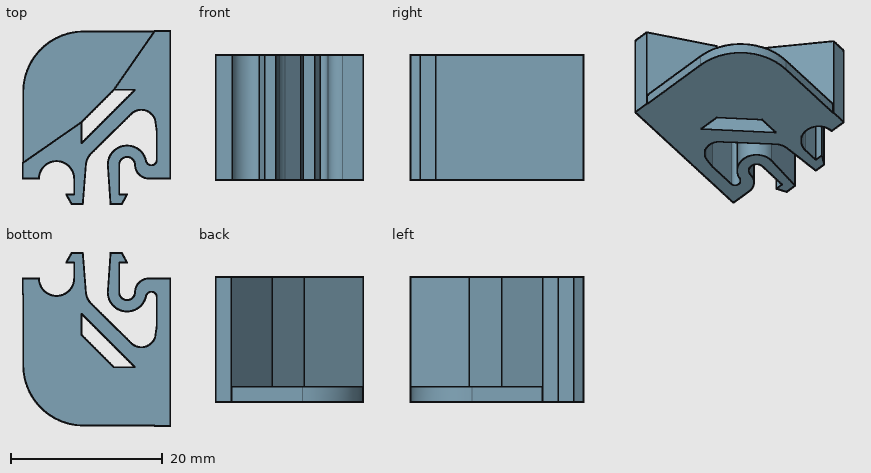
import cadquery as cq
import math

side = 19.5
height = 16.5
plate_thickness = 2.03
plate_inset = 0.07
plate_corner_radius = 8.0

wall_end = 2.05
slot_x = 7.8
slot_outer_y = 7.47
slot_inner_y = 4.7
slot_far_y = side - slot_x

foot_y = side - 22.85
hook_y = -2.05
left_hook_tip_x = 5.74
left_foot_x = 6.47
left_leg_foot_x = 7.95
left_leg_top = (8.36, 1.85)
right_hook_tip_x = 13.78
right_foot_x = 13.1
right_leg_foot_x = 11.58

groove_x = 4.48
groove_radius = 2.3

web_start = (9.1, 3.38)
web_blend_middle = (8.6, 2.7)
cavity_x = 15.65
cavity_y = 7.17
cavity_radius = 1.9
cavity_arc_end_y = 7.75
cavity_wall_x = 17.69
cavity_wall_top_y = 6.2

spring_x = 13.78
spring_y = 1.83
spring_outer_radius = 2.55
spring_inner_radius = 1.03
spring_foot_radius = 1.87
valley_radius = 0.7


def circle_point(x, y, radius, degrees):
    """Point on a circle about (x, y), measured counterclockwise from +X."""
    angle = math.radians(degrees)
    return (x + radius * math.cos(angle), y + radius * math.sin(angle))


def make_profile():
    """Full-height section of the wall, the snap legs and the spring."""
    groove_right = groove_x + groove_radius
    web_end = circle_point(cavity_x, cavity_y, cavity_radius, 135)
    cavity_top = circle_point(cavity_x, cavity_y, cavity_radius, 90)
    cavity_rise = cavity_arc_end_y - cavity_y
    cavity_arc_end = (cavity_x + math.sqrt(cavity_radius**2 - cavity_rise**2), cavity_arc_end_y)

    valley_x = cavity_wall_x - valley_radius
    center_distance = spring_outer_radius + valley_radius
    valley_y = spring_y + math.sqrt(center_distance**2 - (valley_x - spring_x) ** 2)
    touch_angle = math.degrees(math.atan2(valley_y - spring_y, valley_x - spring_x))
    spring_touch = circle_point(spring_x, spring_y, spring_outer_radius, touch_angle)

    leg_top_x = spring_x - spring_outer_radius
    spring_left = spring_x - spring_inner_radius
    spring_right = spring_x + spring_inner_radius
    spring_foot_x = spring_right + spring_foot_radius
    spring_foot_start_y = spring_foot_radius

    return (
        cq.Workplane("XY")
        .moveTo(side, 0)
        .lineTo(side, side)
        .lineTo(side - wall_end, side)
        .lineTo(side - slot_outer_y, slot_far_y)
        .lineTo(side - slot_inner_y, slot_far_y)
        .lineTo(slot_x, slot_inner_y)
        .lineTo(slot_x, slot_outer_y)
        .lineTo(0, wall_end)
        .lineTo(0, 0)
        .lineTo(groove_x - groove_radius, 0)
        .threePointArc((groove_x, groove_radius), (groove_right, 0))
        .lineTo(groove_right, hook_y)
        .lineTo(left_hook_tip_x, hook_y)
        .lineTo(left_foot_x, foot_y)
        .lineTo(left_leg_foot_x, foot_y)
        .lineTo(*left_leg_top)
        .threePointArc(web_blend_middle, web_start)
        .lineTo(*web_end)
        .threePointArc(cavity_top, cavity_arc_end)
        .lineTo(cavity_wall_x, cavity_wall_top_y)
        .lineTo(cavity_wall_x, valley_y)
        .threePointArc((valley_x, valley_y - valley_radius), spring_touch)
        .threePointArc((spring_x, spring_y + spring_outer_radius), (leg_top_x, spring_y))
        .lineTo(right_leg_foot_x, foot_y)
        .lineTo(right_foot_x, foot_y)
        .lineTo(right_hook_tip_x, hook_y)
        .lineTo(spring_left, hook_y)
        .lineTo(spring_left, spring_y)
        .threePointArc((spring_x, spring_y + spring_inner_radius), (spring_right, spring_foot_start_y))
        .threePointArc(
            circle_point(spring_foot_x, spring_foot_start_y, spring_foot_radius, 225),
            (spring_foot_x, 0),
        )
        .close()
        .extrude(height)
    )


def make_plate():
    """Base plate outside the diagonal wall, with one rounded corner."""
    wall_slope = (side - slot_far_y) / (slot_outer_y - wall_end)
    plate_back = side - plate_inset
    plate_end_x = side - wall_end - plate_inset / wall_slope
    plate_start_y = wall_end + plate_inset / wall_slope
    arc_x = plate_inset + plate_corner_radius
    arc_y = plate_back - plate_corner_radius
    return (
        cq.Workplane("XY")
        .moveTo(plate_inset, plate_start_y)
        .lineTo(slot_x, slot_outer_y)
        .lineTo(side - slot_outer_y, slot_far_y)
        .lineTo(plate_end_x, plate_back)
        .lineTo(arc_x, plate_back)
        .threePointArc(circle_point(arc_x, arc_y, plate_corner_radius, 135), (plate_inset, arc_y))
        .close()
        .extrude(plate_thickness)
    )


result = make_profile().union(make_plate())